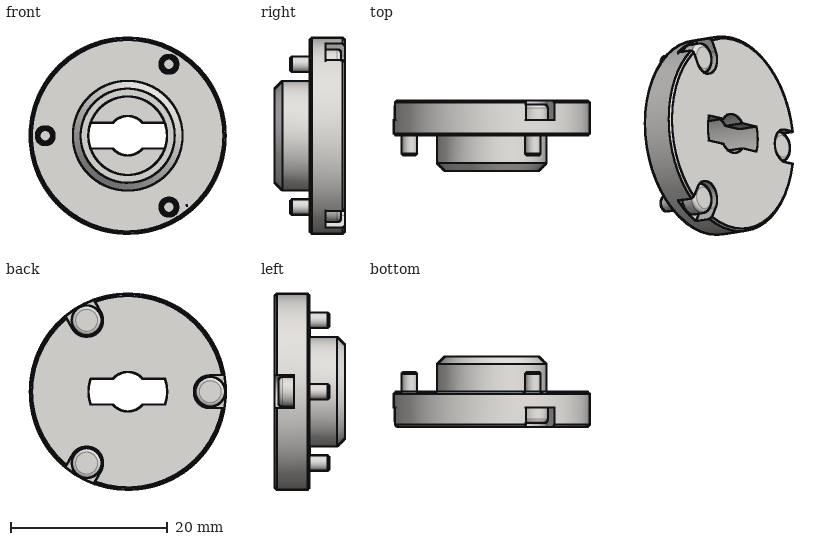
import cadquery as cq
import math

flange_diameter = 25
flange_thickness = 4.5
flange_chamfer = 0.3
hub_diameter = 14
hub_length = 4.5
hub_chamfer = 1

bore_diameter = 10
web_thickness = 2.8
center_hole_diameter = 5
key_slot_width = 3.25

pin_angles = (60, 180, 300)
pin_circle_radius = 10.5
pin_diameter = 2
pin_projection = 2.5
pin_chamfer = 0.25
pin_hole_diameter = 2.4
head_diameter = 3.8
head_height = 2
head_fillet = 0.5
pocket_width = 4.2
pocket_depth = 2.5
pocket_floor = flange_thickness - pocket_depth


def cylinder(diameter, y_start, y_end, x=0, z=0):
    """Cylinder along Y between two Y positions."""
    base = cq.Workplane("XZ", origin=(x, y_start, z))
    return base.circle(diameter / 2).extrude(y_start - y_end)


def make_body():
    flange = cylinder(flange_diameter, 0, flange_thickness).edges().chamfer(flange_chamfer)
    hub = cylinder(hub_diameter, -hub_length, 0).faces("<Y").edges().chamfer(hub_chamfer)
    return flange.union(hub)


def make_center_opening():
    bore_end = flange_thickness - web_thickness
    bore = cylinder(bore_diameter, -hub_length, bore_end)
    center_hole = cylinder(center_hole_diameter, bore_end, flange_thickness)
    slot_box = cq.Workplane("XY").box(bore_diameter, 2 * flange_thickness, key_slot_width)
    slot = cylinder(bore_diameter, 0, flange_thickness).intersect(slot_box)
    return bore.union(center_hole).union(slot)


def make_pocket(x, z, angle):
    """Pocket with a round inner end and straight sides running out through the rim."""
    round_end = cylinder(pocket_width, pocket_floor, flange_thickness, x, z)
    channel_length = flange_diameter / 2 - pin_circle_radius + pocket_width / 2
    channel = (
        cq.Workplane("XY")
        .box(channel_length, pocket_depth, pocket_width, centered=(False, False, True))
        .translate((pin_circle_radius, pocket_floor, 0))
        .rotate((0, 0, 0), (0, 1, 0), -angle)
    )
    return round_end.union(channel)


def make_pin(x, z):
    shank = cylinder(pin_diameter, -pin_projection, pocket_floor, x, z)
    shank = shank.faces("<Y").edges().chamfer(pin_chamfer)
    head = cylinder(head_diameter, pocket_floor, pocket_floor + head_height, x, z)
    head = head.faces(">Y").edges().fillet(head_fillet)
    return shank.union(head)


result = make_body().cut(make_center_opening())
for pin_angle in pin_angles:
    pin_x = pin_circle_radius * math.cos(math.radians(pin_angle))
    pin_z = pin_circle_radius * math.sin(math.radians(pin_angle))
    result = result.cut(make_pocket(pin_x, pin_z, pin_angle))
    result = result.cut(cylinder(pin_hole_diameter, 0, pocket_floor, pin_x, pin_z))
    result = result.union(make_pin(pin_x, pin_z))